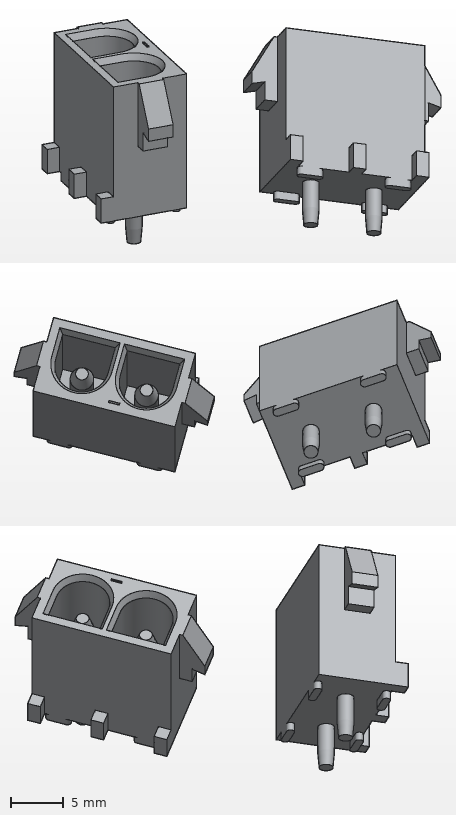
import cadquery as cq
import math


body_width = 13.98
body_depth = 7.62
body_height = 13.96

pitch = 6.36
contact_positions = [(-pitch / 2, 0), (pitch / 2, 0)]
cavity_half_width = 2.6
lead_in_width = 0.38
lead_in_angle = 30.0
lead_in_depth = lead_in_width / math.tan(math.radians(lead_in_angle))
floor_thickness = 2.53

pin_radius = 1.12
pin_tip_radius = 0.61
pin_tip_height = 1.58
pin_recess = 3.05
pin_top = body_height - pin_recess

tail_radius = 0.8
tail_end_radius = 0.67
tail_length = 4.32
tail_taper_length = 1.52

overall_width = 19.05
latch_reach = (overall_width - body_width) / 2
latch_thickness = 2.55
latch_top_reach = 0.32
latch_post_reach = latch_reach / 2
latch_ramp_drop = 3.81
latch_tip_drop = 5.09
latch_post_drop = 6.61
latch_undercut_angle = 15.0
latch_undercut = (latch_reach - latch_post_reach) * math.tan(math.radians(latch_undercut_angle))

foot_size = 1.28
foot_height = 2.53

pad_length = 2.55
pad_width = 0.78
pad_height = 0.82
pad_x = body_width / 2 - foot_size - pad_length / 2
pad_y = (body_depth - pad_width) / 2

index_length = 1.07
index_width = 0.17
index_height = 0.1
index_x = -0.78
index_y = 3.0


def make_housing():
    return cq.Workplane("XY").box(body_width, body_depth, body_height, centered=(True, True, False))


def d_outline(workplane, half_width):
    """Square front half closed by a half circle at the back."""
    return (
        workplane.moveTo(-half_width, 0)
        .lineTo(-half_width, -half_width)
        .lineTo(half_width, -half_width)
        .lineTo(half_width, 0)
        .threePointArc((0, half_width), (-half_width, 0))
        .close()
    )


def make_cavity():
    """D-shaped pocket with a sloped lead-in around its mouth."""
    floor = cq.Workplane("XY").workplane(offset=floor_thickness)
    pocket = d_outline(floor, cavity_half_width).extrude(body_height - floor_thickness)
    mouth = cq.Workplane("XY").workplane(offset=body_height)
    lead_in = d_outline(mouth, cavity_half_width + lead_in_width).extrude(-lead_in_depth, taper=lead_in_angle)
    return pocket.union(lead_in)


def make_contact():
    """Round pin in the cavity and a tapered solder tail below the housing."""
    return (
        cq.Workplane("XZ")
        .moveTo(0, -tail_length)
        .lineTo(tail_end_radius, -tail_length)
        .lineTo(tail_radius, -tail_length + tail_taper_length)
        .lineTo(tail_radius, floor_thickness)
        .lineTo(pin_radius, floor_thickness)
        .lineTo(pin_radius, pin_top - pin_tip_height)
        .lineTo(pin_tip_radius, pin_top)
        .lineTo(0, pin_top)
        .close()
        .revolve(360, (0, 0), (0, 1))
    )


def make_right_latch():
    """Ramped hook with a sloped underside, carried by a short post."""
    wall = body_width / 2
    return (
        cq.Workplane("XZ")
        .moveTo(wall, body_height)
        .lineTo(wall + latch_top_reach, body_height)
        .lineTo(wall + latch_reach, body_height - latch_ramp_drop)
        .lineTo(wall + latch_reach, body_height - latch_tip_drop)
        .lineTo(wall + latch_post_reach, body_height - latch_tip_drop + latch_undercut)
        .lineTo(wall + latch_post_reach, body_height - latch_post_drop)
        .lineTo(wall, body_height - latch_post_drop)
        .close()
        .extrude(latch_thickness / 2, both=True)
    )


def make_feet():
    end_foot_x = (body_width - foot_size) / 2
    foot_y = -(body_depth + foot_size) / 2
    return (
        cq.Workplane("XY")
        .pushPoints([(x, foot_y) for x in (-end_foot_x, 0, end_foot_x)])
        .rect(foot_size, foot_size)
        .extrude(foot_height)
    )


def make_pads():
    return (
        cq.Workplane("XY")
        .rect(2 * pad_x, 2 * pad_y, forConstruction=True)
        .vertices()
        .slot2D(pad_length, pad_width)
        .extrude(-pad_height)
    )


def make_index_bar():
    return (
        cq.Workplane("XY", origin=(index_x, index_y, body_height))
        .rect(index_length, index_width)
        .extrude(index_height)
    )


right_latch = make_right_latch()
cavity = make_cavity()
contact = make_contact()

result = make_housing()
for x, y in contact_positions:
    result = result.cut(cavity.translate((x, y, 0)))
for x, y in contact_positions:
    result = result.union(contact.translate((x, y, 0)))
result = result.union(right_latch).union(right_latch.mirror("YZ"))
result = result.union(make_feet()).union(make_pads()).union(make_index_bar())